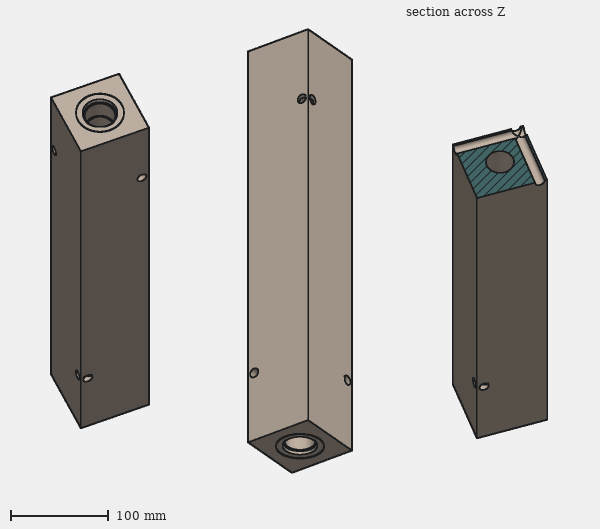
import cadquery as cq

height = 463.5
width = 76.0

bore_diameter = 28.5

recess_diameter = 49.0
recess_depth = 1.0
mouth_diameter = 35.5
seat_diameter = 33.5
mouth_depth = 3.2
port_diameter = 31.0
port_depth = 25.5

cross_diameter = 10.0
cross_edge_distance = 8.0
cross_end_distance = 79.5


def make_port():
    """Solid of the top port: flat recess, steep cone, short lead-in chamfer, then a cylinder."""
    recess_floor = height / 2 - recess_depth
    seat_level = recess_floor - mouth_depth
    chamfer_depth = (seat_diameter - port_diameter) / 2
    port_floor = height / 2 - port_depth
    profile = [
        (0, height / 2),
        (recess_diameter / 2, height / 2),
        (recess_diameter / 2, recess_floor),
        (mouth_diameter / 2, recess_floor),
        (seat_diameter / 2, seat_level),
        (port_diameter / 2, seat_level - chamfer_depth),
        (port_diameter / 2, port_floor),
        (0, port_floor),
    ]
    return cq.Workplane("XZ").polyline(profile).close().revolve(360, (0, 0), (0, 1))


def make_cross_holes(plane, upper_side):
    """Two through holes normal to the plane, the upper one on the given side (+1 or -1)."""
    across = upper_side * (width / 2 - cross_edge_distance)
    up = height / 2 - cross_end_distance
    places = [(across, up), (-across, -up)]
    return cq.Workplane(plane).pushPoints(places).circle(cross_diameter / 2).extrude(width, both=True)


block = cq.Workplane("XY").box(width, width, height)
bore = cq.Workplane("XY").circle(bore_diameter / 2).extrude(height, both=True)
top_port = make_port()
bottom_port = top_port.mirror("XY")

result = block.cut(bore).cut(top_port).cut(bottom_port)

result = result.cut(make_cross_holes("XZ", -1))
result = result.cut(make_cross_holes("YZ", 1))